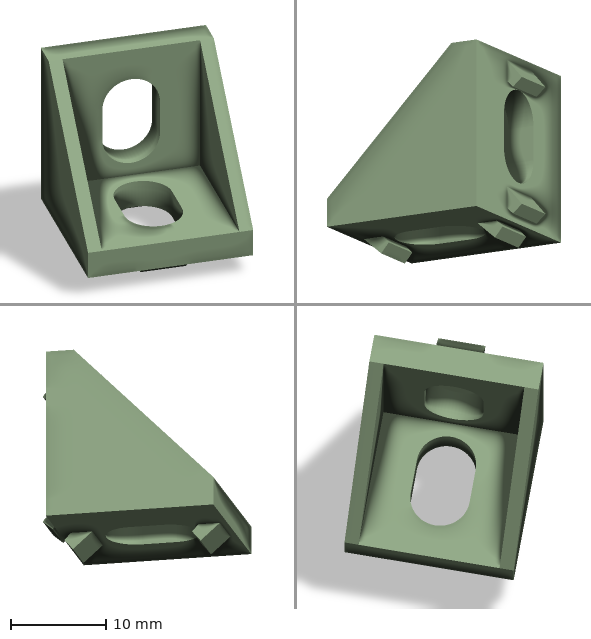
import cadquery as cq

overall = 19.8
leg = 18.0
wall = 3.0
cheek = 1.5
slot_length = 10.0
slot_width = 6.25
slot_start = 4.47
tab_width = 5.0
tab_pitch = 13.7
tab_root_near = 1.23
tab_root_far = 3.52
tab_tip_near = 0.53
tab_tip_near_height = 0.73
tab_tip_far = 1.45

tab_height = overall - leg
slot_center = slot_start + slot_length / 2


def turn_to_base(shape):
    """Turn about the X = Z diagonal, carrying the upright leg's features to the base leg."""
    return shape.rotate((0, 0, 0), (1, 0, 1), 180)


def prism(points, width):
    """Extrude an XZ outline symmetrically about the Y = 0 plane."""
    return cq.Workplane("XZ").polyline(points).close().extrude(width / 2, both=True)


def make_body():
    """Sloped bracket: two legs joined by a side plate along each edge."""
    outline = [(0, 0), (leg, 0), (leg, wall), (wall, leg), (0, leg)]
    pocket = [(wall, wall), (leg, wall), (leg, leg), (wall, leg)]
    return prism(outline, leg).cut(prism(pocket, leg - 2 * cheek))


def make_slot():
    """Round-ended slot through the upright leg."""
    return (
        cq.Workplane("YZ")
        .center(0, slot_center)
        .slot2D(slot_length, slot_width, 90)
        .extrude(wall)
    )


def make_tab(offset):
    """Slanted locating tab on the outer face of the upright leg."""
    outline = [
        (0, offset + tab_root_near),
        (-tab_tip_near_height, offset + tab_tip_near),
        (-tab_height, offset + tab_tip_far),
        (0, offset + tab_root_far),
    ]
    return prism(outline, tab_width)


result = make_body()
slot = make_slot()
result = result.cut(slot).cut(turn_to_base(slot))
for offset in (0, tab_pitch):
    tab = make_tab(offset)
    result = result.union(tab).union(turn_to_base(tab))